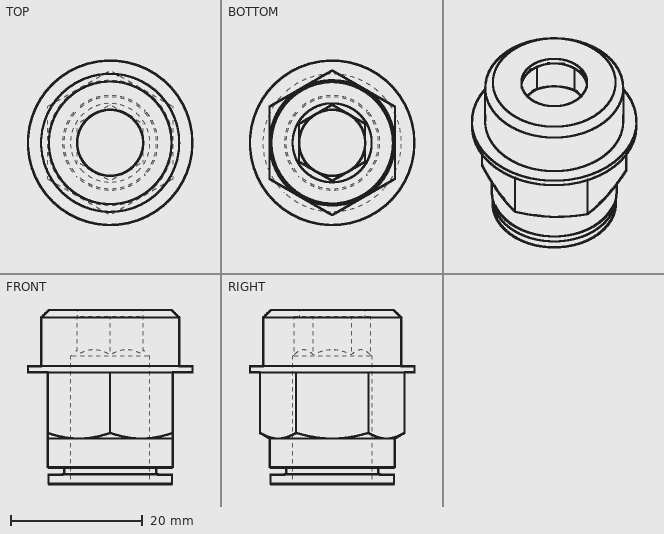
import cadquery as cq
import math

height = 26.5
ring_top = 1.5
neck_top = 2.52
hex_bottom = 7.0
flange_bottom = 17.0
flange_top = 18.0

ring_diameter = 18.8
neck_diameter = 14.0
sleeve_diameter = 19.0
flange_diameter = 25.0
spigot_diameter = 20.95

hex_sides = 6
hex_flats = sleeve_diameter
hex_chamfer_angle = 30.0

spigot_chamfer = 1.17
small_chamfer = 0.19
step_diameter = 14.45
step_height = 0.13

passage_diameter = 10.0
lip_depth = 1.0
tube_diameter = 12.0
tube_top = 19.48


def cylinder(diameter, bottom, top):
    return cq.Workplane("XY").workplane(offset=bottom).circle(diameter / 2).extrude(top - bottom)


def hexagon(flats, bottom, top):
    """Hexagonal prism with two flats facing +X and -X."""
    half_sector = 180 / hex_sides
    corner_diameter = flats / math.cos(math.radians(half_sector))
    prism = cq.Workplane("XY").workplane(offset=bottom).polygon(hex_sides, corner_diameter).extrude(top - bottom)
    return prism.rotate((0, 0, 0), (0, 0, 1), half_sector)


def wrench_hexagon():
    """Hexagon whose lower corners are trimmed by a cone."""
    prism = hexagon(hex_flats, hex_bottom, flange_bottom)
    length = flange_bottom - hex_bottom
    base_radius = hex_flats / 2
    top_radius = base_radius + length / math.tan(math.radians(hex_chamfer_angle))
    cone = (
        cq.Workplane("XZ")
        .moveTo(0, hex_bottom)
        .lineTo(base_radius, hex_bottom)
        .lineTo(top_radius, flange_bottom)
        .lineTo(0, flange_bottom)
        .close()
        .revolve(360, (0, 0, 0), (0, 1, 0))
    )
    return prism.intersect(cone)


def outer_body():
    ring = cylinder(ring_diameter, 0, ring_top).faces("<Z").edges().chamfer(small_chamfer)
    step = cylinder(step_diameter, ring_top, ring_top + step_height)
    neck = cylinder(neck_diameter, 0, hex_bottom)
    sleeve = cylinder(sleeve_diameter, neck_top, hex_bottom).faces("<Z").edges().chamfer(small_chamfer)
    flange = cylinder(flange_diameter, flange_bottom, flange_top)
    spigot = cylinder(spigot_diameter, flange_top, height).faces(">Z").edges().chamfer(spigot_chamfer)
    body = ring
    for section in (step, neck, sleeve, wrench_hexagon(), flange, spigot):
        body = body.union(section)
    return body


def passage():
    lip = cylinder(passage_diameter, tube_top, height)
    socket = hexagon(passage_diameter, tube_top, height - lip_depth)
    tube_bore = cylinder(tube_diameter, 0, tube_top)
    flare_height = (tube_diameter - passage_diameter) / 2
    flare = (
        cq.Workplane("XY")
        .workplane(offset=tube_top)
        .circle(tube_diameter / 2)
        .workplane(offset=flare_height)
        .circle(passage_diameter / 2)
        .loft()
    )
    return lip.union(socket).union(flare).union(tube_bore)


result = outer_body().cut(passage())